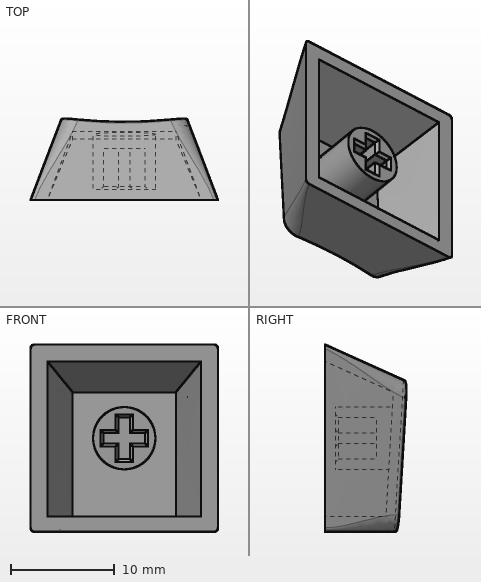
import cadquery as cq
import math

RIM_SIZE = 18.1
RIM_HALF = RIM_SIZE / 2
TOP_HALF_WIDTH = 6.05
TOP_UPPER_Z = 5.45
TOP_UPPER_Y = 7.98
TOP_LOWER_Y = 7.11
RIM_CORNER_RADIUS = 0.4
TOP_CORNER_RADIUS = 1.68
SECTION_COUNT = 5
TOP_EDGE_FILLET = 0.25

DISH_DEPTH = 0.42
DISH_RADIUS = (TOP_HALF_WIDTH**2 + DISH_DEPTH**2) / (2 * DISH_DEPTH)
DISH_OVERRUN = 7.24

CAVITY_HALF_WIDTH = 7.42
CAVITY_UPPER_Z = 7.42
CAVITY_LOWER_Z = -7.55
FLOOR_HALF_WIDTH = 4.98
FLOOR_UPPER_Z = 4.43
FLOOR_UPPER_Y = 6.6
TOP_SLOPE = (TOP_UPPER_Y - TOP_LOWER_Y) / (TOP_UPPER_Z + RIM_HALF)

STEM_RADIUS = 3.0
STEM_RECESS = 1.0
STEM_END_Y = 6.88
CROSS_LENGTH = 4.0
CROSS_BAR_HEIGHT = 1.0
CROSS_BAR_WIDTH = 1.07
CROSS_DEPTH = 3.98
CROSS_CHAMFER = 0.3


def tilted_plane(lower_y, lower_z, upper_y, upper_z):
    """Plane through two profile points, centred between them, facing +Y."""
    center = (0, (lower_y + upper_y) / 2, (lower_z + upper_z) / 2)
    normal = (0, upper_z - lower_z, lower_y - upper_y)
    return cq.Plane(origin=center, xDir=(-1, 0, 0), normal=normal)


def section(half_width, lower_y, lower_z, upper_y, upper_z, corner_radius=0):
    """Rectangular wire, optionally with rounded corners, on a tilted plane."""
    height = math.hypot(upper_y - lower_y, upper_z - lower_z)
    plane = tilted_plane(lower_y, lower_z, upper_y, upper_z)
    wire = cq.Workplane(plane).rect(2 * half_width, height).val()
    if corner_radius:
        wire = wire.fillet2D(corner_radius, wire.Vertices())
    return wire


def blend(start, end, fraction):
    return start + (end - start) * fraction


def outer_section(fraction):
    """Outer outline at a fraction of the way up; corner radius eases in and out."""
    eased = fraction**2 * (3 - 2 * fraction)
    return section(
        blend(RIM_HALF, TOP_HALF_WIDTH, fraction),
        TOP_LOWER_Y * fraction,
        -RIM_HALF,
        TOP_UPPER_Y * fraction,
        blend(RIM_HALF, TOP_UPPER_Z, fraction),
        blend(RIM_CORNER_RADIUS, TOP_CORNER_RADIUS, eased),
    )


def make_shell():
    fractions = [i / (SECTION_COUNT - 1) for i in range(SECTION_COUNT)]
    return cq.Workplane(cq.Solid.makeLoft([outer_section(f) for f in fractions]))


def make_dish():
    top = tilted_plane(TOP_LOWER_Y, -RIM_HALF, TOP_UPPER_Y, TOP_UPPER_Z)
    axis = top.yDir
    start = top.origin + top.zDir * (DISH_RADIUS - DISH_DEPTH) - axis * (RIM_HALF + DISH_OVERRUN)
    length = 2 * (RIM_HALF + DISH_OVERRUN)
    return cq.Workplane(cq.Solid.makeCylinder(DISH_RADIUS, length, start, axis))


def make_cavity():
    floor_lower_y = FLOOR_UPPER_Y - TOP_SLOPE * (FLOOR_UPPER_Z - CAVITY_LOWER_Z)
    opening = section(CAVITY_HALF_WIDTH, 0, CAVITY_LOWER_Z, 0, CAVITY_UPPER_Z)
    floor = section(FLOOR_HALF_WIDTH, floor_lower_y, CAVITY_LOWER_Z, FLOOR_UPPER_Y, FLOOR_UPPER_Z)
    return cq.Workplane(cq.Solid.makeLoft([opening, floor], True))


def make_stem():
    face = cq.Workplane("XZ", origin=(0, STEM_RECESS, 0))
    stem = face.circle(STEM_RADIUS).extrude(STEM_RECESS - STEM_END_Y)
    cross = face.rect(CROSS_LENGTH, CROSS_BAR_HEIGHT).extrude(-CROSS_DEPTH)
    cross = cross.union(face.rect(CROSS_BAR_WIDTH, CROSS_LENGTH).extrude(-CROSS_DEPTH))
    return stem.cut(cross).faces("<Y").edges("not %CIRCLE").chamfer(CROSS_CHAMFER)


shell = make_shell().cut(make_dish())
shell = shell.faces(">Y").edges().fillet(TOP_EDGE_FILLET)
result = shell.cut(make_cavity()).union(make_stem())